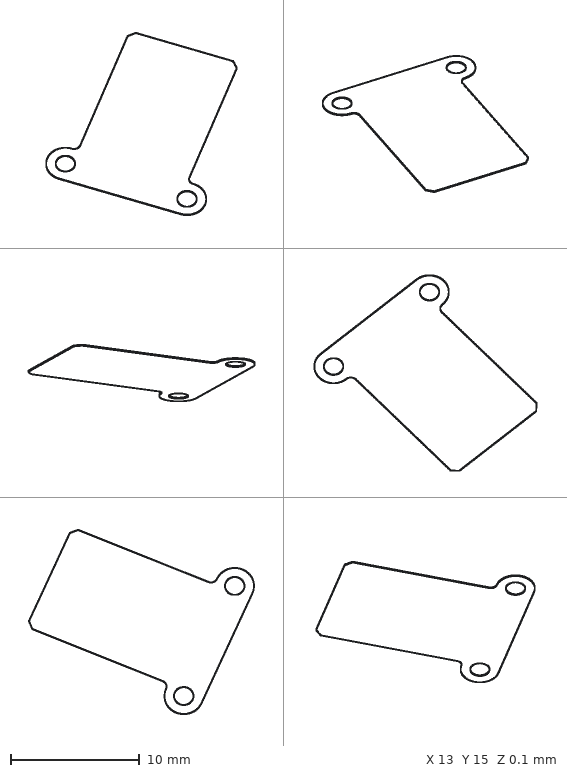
import cadquery as cq
import math

length = 15.0
overall_width = 13.0
thickness = 0.1
body_width = 9.0
ear_radius = 1.5
hole_diameter = 1.5
corner_chamfer = 0.5

half_body = body_width / 2
ear_x = overall_width / 2 - ear_radius
ear_top = 2 * ear_radius
fillet_radius = ear_x - half_body
fillet_mid_offset = fillet_radius * math.sqrt(0.5)
fillet_mid_x = ear_x - fillet_mid_offset
fillet_mid_y = ear_top + fillet_radius - fillet_mid_offset
chamfer_x = half_body - corner_chamfer
chamfer_y = length - corner_chamfer

plate = (
    cq.Workplane("XY")
    .moveTo(-ear_x, 0)
    .lineTo(ear_x, 0)
    .threePointArc((ear_x + ear_radius, ear_radius), (ear_x, ear_top))
    .threePointArc((fillet_mid_x, fillet_mid_y), (half_body, ear_top + fillet_radius))
    .lineTo(half_body, chamfer_y)
    .lineTo(chamfer_x, length)
    .lineTo(-chamfer_x, length)
    .lineTo(-half_body, chamfer_y)
    .lineTo(-half_body, ear_top + fillet_radius)
    .threePointArc((-fillet_mid_x, fillet_mid_y), (-ear_x, ear_top))
    .threePointArc((-ear_x - ear_radius, ear_radius), (-ear_x, 0))
    .close()
    .extrude(thickness)
)

holes = (
    cq.Workplane("XY")
    .pushPoints([(-ear_x, ear_radius), (ear_x, ear_radius)])
    .circle(hole_diameter / 2)
    .extrude(thickness)
)

result = plate.cut(holes)